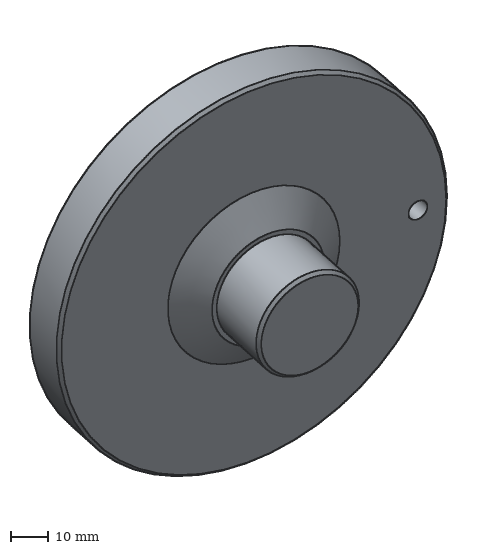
import cadquery as cq

disc_diameter = 125.0
disc_thickness = 15.0

shoulder_base_diameter = 55.0
shoulder_end_diameter = 36.0
shoulder_length = 7.0

hub_diameter = 33.0
hub_length = 20.0

edge_chamfer = 1.0

hole_diameter = 6.0
hole_offset = 52.5

disc_radius = disc_diameter / 2
hub_radius = hub_diameter / 2
shoulder_end = disc_thickness + shoulder_length
hub_end = shoulder_end + hub_length


def turned_body():
    """Revolve the half profile (axial position, radius) about the X axis."""
    profile = (
        cq.Workplane("XY")
        .moveTo(0, 0)
        .lineTo(0, disc_radius - edge_chamfer)
        .lineTo(edge_chamfer, disc_radius)
        .lineTo(disc_thickness - edge_chamfer, disc_radius)
        .lineTo(disc_thickness, disc_radius - edge_chamfer)
        .lineTo(disc_thickness, shoulder_base_diameter / 2)
        .lineTo(shoulder_end, shoulder_end_diameter / 2)
        .lineTo(shoulder_end, hub_radius)
        .lineTo(hub_end - edge_chamfer, hub_radius)
        .lineTo(hub_end, hub_radius - edge_chamfer)
        .lineTo(hub_end, 0)
        .close()
    )
    return profile.revolve(360, (0, 0, 0), (1, 0, 0))


def handle_hole():
    """Through hole parallel to X, with a 45 degree countersink on the outer face."""
    hole_radius = hole_diameter / 2
    profile = (
        cq.Workplane("XY")
        .moveTo(0, hole_offset)
        .lineTo(0, hole_offset + hole_radius + edge_chamfer)
        .lineTo(edge_chamfer, hole_offset + hole_radius)
        .lineTo(disc_thickness, hole_offset + hole_radius)
        .lineTo(disc_thickness, hole_offset)
        .close()
    )
    return profile.revolve(360, (0, hole_offset, 0), (1, hole_offset, 0))


result = turned_body().cut(handle_hole())